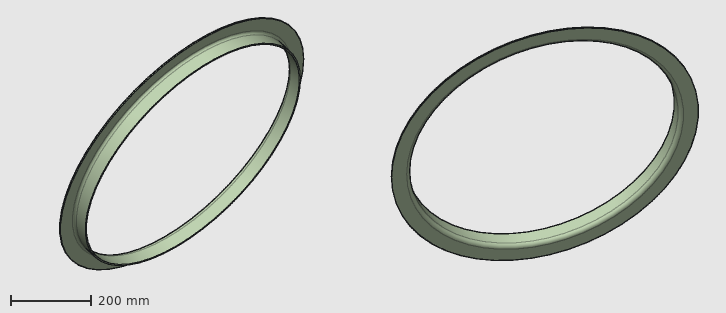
import cadquery as cq
import math

flange_diameter = 800.0
tube_outer_diameter = 708.0
sheet_thickness = 4.0
total_length = 45.0
inner_bend_radius = 7.0

flange_radius = flange_diameter / 2
tube_outer_radius = tube_outer_diameter / 2
tube_inner_radius = tube_outer_radius - sheet_thickness
outer_bend_radius = inner_bend_radius + sheet_thickness

bend_center_x = outer_bend_radius
bend_center_radius = tube_outer_radius + inner_bend_radius


def bend_midpoint(bend_radius):
    """Point halfway along a quarter bend, as (position along X, distance from the axis)."""
    offset = bend_radius / math.sqrt(2)
    return (bend_center_x - offset, bend_center_radius - offset)


section = (
    cq.Workplane("XY")
    .moveTo(0, flange_radius)
    .lineTo(0, bend_center_radius)
    .threePointArc(bend_midpoint(outer_bend_radius), (bend_center_x, tube_inner_radius))
    .lineTo(total_length, tube_inner_radius)
    .lineTo(total_length, tube_outer_radius)
    .lineTo(bend_center_x, tube_outer_radius)
    .threePointArc(bend_midpoint(inner_bend_radius), (sheet_thickness, bend_center_radius))
    .lineTo(sheet_thickness, flange_radius)
    .close()
)

full_turn = 360
result = section.revolve(full_turn, (0, 0, 0), (1, 0, 0))